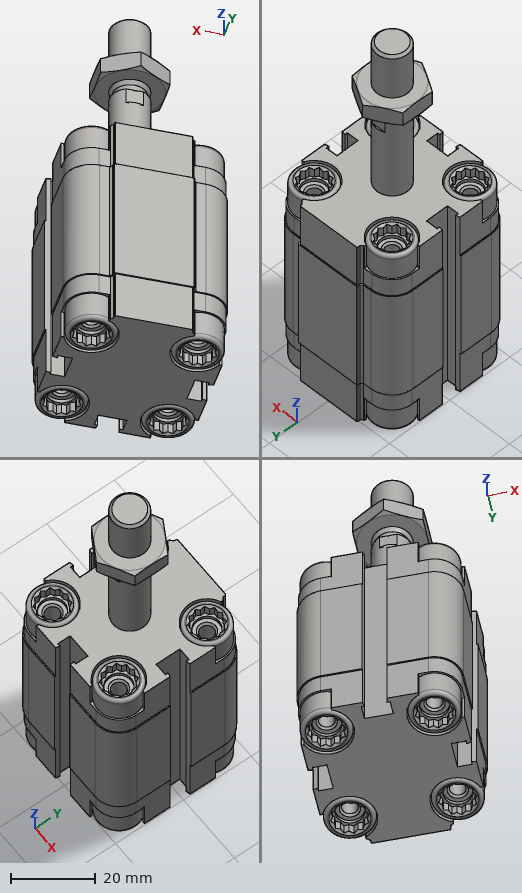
import cadquery as cq
import math


housing_height = 59.5
cap_height = 13.0
barrel_half_width = 20.0
cap_inset = 0.3
cap_half_width = barrel_half_width - cap_inset
barrel_height = housing_height - 2 * cap_height

pad_half_width = 10.0
pad_rise = 1.5
pad_bevel = 0.2
pad_root = 0.6

slot_mouth_width = 6.0
slot_throat_width = 5.4
slot_inner_width = 7.0
slot_floor = 15.0
slot_lip_inside = 18.5

boss_spacing = 26.0
boss_offset = boss_spacing / 2
boss_diameter = 12.5
boss_edge_radius = 1.0
notch_depth = 7.5
notch_edge = 10.5
notch_diameter = 13.1

hole_diameter = 4.0
hole_mouth_diameter = 10.0
mouth_slope = math.radians(30)
socket_points = 12
socket_outer_diameter = 9.2
socket_inner_diameter = 8.1
socket_depth = 3.1
step_diameter = 7.2
step_depth = 1.0
seat_diameter = 5.0

rod_diameter = 10.0
rod_top = 107.0
rod_bottom = housing_height - cap_height
rod_end_chamfer = 0.7
neck_diameter = 8.5
neck_bottom = 85.1
neck_top = 86.9
neck_cone_height = 1.1
flats_bottom = 80.9
flats_across = 9.0

nut_across_flats = 17.0
nut_thickness = 5.0
nut_bottom = 88.0
nut_face_diameter = 16.8
nut_chamfer_height = 0.4


def cylinder(diameter, bottom, height):
    return cq.Workplane("XY", origin=(0, 0, bottom)).circle(diameter / 2).extrude(height)


def turned(profile):
    """Solid of revolution about Z from (radius, z) points."""
    return cq.Workplane("XZ").polyline(profile).close().revolve(360, (0, 0, 0), (0, 1, 0))


def with_mirror_image(right_side):
    """Closed outline points, symmetric about the Y axis, from those on its +X side."""
    return right_side + [(-x, y) for x, y in reversed(right_side)]


def prism(outline, bottom, height):
    return cq.Workplane("XY", origin=(0, 0, bottom)).polyline(outline).close().extrude(height)



def block(inset, bottom, height):
    """Square prism with rounded corners and the pad, set back from the barrel faces by inset."""
    half_width = barrel_half_width - inset
    square = (
        cq.Workplane("XY", origin=(0, 0, bottom))
        .rect(2 * half_width, 2 * half_width)
        .extrude(height)
        .edges("|Z")
        .fillet(half_width - boss_offset)
    )
    pad_side = pad_half_width - inset
    pad_face = half_width + pad_rise
    pad_outline = with_mirror_image([
        (pad_side + pad_root, 0),
        (pad_side + pad_root, half_width),
        (pad_side, half_width + pad_root),
        (pad_side, pad_face - pad_bevel),
        (pad_side - pad_bevel, pad_face),
    ])
    return square.union(prism(pad_outline, bottom, height))


def slot_cutter():
    """T-slot in the -Y side, along the whole housing."""
    outline = with_mirror_image([
        (slot_mouth_width / 2, -barrel_half_width),
        (slot_throat_width / 2, -slot_lip_inside),
        (slot_inner_width / 2, -slot_lip_inside),
        (slot_inner_width / 2, -slot_floor),
    ])
    return prism(outline, 0, housing_height)


def notch_cutter():
    """Space around one boss: a ring that opens to the corner, below Z = 0 and about the Z axis."""
    inner_corner = notch_edge - boss_offset
    opening_width = cap_half_width - notch_edge
    opening = (
        cq.Workplane("XY")
        .center(inner_corner, inner_corner)
        .rect(opening_width, opening_width, centered=False)
        .extrude(-notch_depth)
    )
    boss = cylinder(boss_diameter, -notch_depth, notch_depth).faces(">Z").edges().fillet(boss_edge_radius)
    return opening.union(cylinder(notch_diameter, -notch_depth, notch_depth)).cut(boss)


def socket_cutter():
    """Conical mouth, twelve-point socket, round step and conical seat below Z = 0."""
    mouth_radius = hole_mouth_diameter / 2
    inner_radius = socket_inner_diameter / 2
    mouth_depth = (mouth_radius - inner_radius) * math.tan(mouth_slope)
    mouth = turned([(0, 0), (mouth_radius, 0), (inner_radius, -mouth_depth), (0, -mouth_depth)])

    star = []
    for corner in range(2 * socket_points):
        radius = inner_radius if corner % 2 else socket_outer_diameter / 2
        angle = math.pi * corner / socket_points
        star.append((radius * math.cos(angle), radius * math.sin(angle)))
    socket = prism(star, -socket_depth, socket_depth)

    step_bottom = -socket_depth - step_depth
    step = cylinder(step_diameter, step_bottom, step_depth)
    seat_bottom = step_bottom - (seat_diameter - hole_diameter) / 2
    seat = turned([
        (0, step_bottom),
        (seat_diameter / 2, step_bottom),
        (hole_diameter / 2, seat_bottom),
        (0, seat_bottom),
    ])
    return mouth.union(socket).union(step).union(seat)


def make_housing():
    body = block(cap_inset, 0, housing_height).union(block(0, cap_height, barrel_height))

    slot = slot_cutter()
    for angle in (-90, 0, 90):
        body = body.cut(slot.rotate((0, 0, 0), (0, 0, 1), angle))

    upper_end = notch_cutter().union(socket_cutter()).translate((boss_offset, boss_offset, housing_height))
    lower_end = upper_end.mirror("XY", (0, 0, housing_height / 2))
    hole = cylinder(hole_diameter, 0, housing_height).translate((boss_offset, boss_offset, 0))
    for angle in (0, 90, 180, 270):
        for cutter in (upper_end, lower_end, hole):
            body = body.cut(cutter.rotate((0, 0, 0), (0, 0, 1), angle))

    rod_bore = cylinder(rod_diameter, rod_bottom, housing_height - rod_bottom)
    return body.cut(rod_bore)



def make_rod():
    rod_radius = rod_diameter / 2
    neck_radius = neck_diameter / 2
    rod = turned([
        (0, rod_bottom),
        (rod_radius, rod_bottom),
        (rod_radius, neck_bottom),
        (neck_radius, neck_bottom),
        (neck_radius, neck_top),
        (rod_radius, neck_top + neck_cone_height),
        (rod_radius, rod_top - rod_end_chamfer),
        (rod_radius - rod_end_chamfer, rod_top),
        (0, rod_top),
    ])
    for side in (-1, 1):
        flat = (
            cq.Workplane("XY", origin=(0, side * (flats_across + rod_diameter) / 2, flats_bottom))
            .rect(rod_diameter, rod_diameter)
            .extrude(neck_bottom - flats_bottom)
        )
        rod = rod.cut(flat)
    return rod



def make_nut():
    """Nut with two of its corners on the Y axis and both faces chamfered."""
    across_corners = nut_across_flats / math.cos(math.radians(30))
    hexagon = (
        cq.Workplane("XY", origin=(0, 0, nut_bottom))
        .polygon(6, across_corners)
        .extrude(nut_thickness)
        .rotate((0, 0, 0), (0, 0, 1), 30)
    )
    nut_top = nut_bottom + nut_thickness
    chamfer_envelope = turned([
        (0, nut_bottom),
        (nut_face_diameter / 2, nut_bottom),
        (across_corners / 2, nut_bottom + nut_chamfer_height),
        (across_corners / 2, nut_top - nut_chamfer_height),
        (nut_face_diameter / 2, nut_top),
        (0, nut_top),
    ])
    return hexagon.intersect(chamfer_envelope).cut(cylinder(rod_diameter, nut_bottom, nut_thickness))


housing = make_housing()
rod = make_rod()
nut = make_nut()
result = cq.Compound.makeCompound([housing.val(), rod.val(), nut.val()])